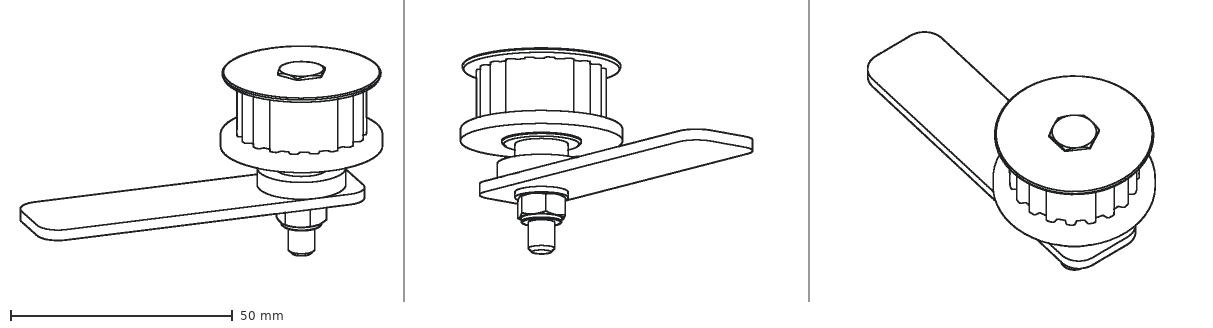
import cadquery as cq
import math


arm_width = 20.0
arm_thickness = 2.5
arm_corner_radius = 5.0
arm_near_end_y = 13.0

boss_diameter = arm_width
boss_height = 4.0
post_diameter = 12.0
post_height = 4.5
collar_diameter = 18.0
collar_chamfer = 0.5
collar_height = 0.75

lower_flange_diameter = 36.6
lower_flange_height = 3.1
lower_flange_round = 0.5
tooth_count = 19
tooth_tip_diameter = 29.3
tooth_height = 13.1
tooth_tip_round = 0.6
tooth_root_round = 0.25
groove_depth = 1.3
groove_floor_width = 1.85
groove_flank_angle = 25.0
groove_phase_angle = 1.0
upper_flange_diameter = 35.9
upper_flange_height = 1.4
upper_flange_base_diameter = 32.5
upper_flange_lip_diameter = 35.2
upper_flange_lip_height = 0.4
upper_flange_rim_height = 1.1

hex_across_flats = 10.0
hex_across_corners = hex_across_flats / math.cos(math.radians(30))
head_height = 0.75
bolt_diameter = 6.0
bolt_end_chamfer = 0.8
washer_diameter = post_diameter
washer_thickness = 1.25
nut_height = 4.8
nut_collar_diameter = 9.2
nut_collar_height = 1.0
nut_collar_chamfer = 0.25
bolt_tip_length = 6.8
hex_bevel_angle = 30.0
head_turn = 30.0
nut_turn = 0.0

overall_length = 83.8
arm_far_end_y = lower_flange_diameter / 2 - overall_length

boss_top = arm_thickness + boss_height
post_top = boss_top + post_height
collar_top = post_top + collar_height
lower_flange_top = collar_top + lower_flange_height
teeth_top = lower_flange_top + tooth_height
upper_flange_top = teeth_top + upper_flange_height
nut_top = -washer_thickness
nut_bottom = nut_top - nut_height
nut_collar_bottom = nut_bottom - nut_collar_height
bolt_bottom = nut_collar_bottom - bolt_tip_length


def disc(diameter, bottom, height):
    return cq.Workplane("XY").workplane(offset=bottom).circle(diameter / 2).extrude(height)


def axis_distance(edge):
    """Distance of an edge's midpoint from the bolt axis."""
    center = edge.Center()
    return math.hypot(center.x, center.y)


def hexagon(bottom, height, turn):
    """Hexagonal prism with corners on the X axis, then turned about Z by the given degrees."""
    prism = cq.Workplane("XY").workplane(offset=bottom).polygon(6, hex_across_corners).extrude(height)
    return prism.rotate((0, 0, 0), (0, 0, 1), turn)


def corner_bevel(bottom, height, bevel_bottom, bevel_top):
    """Turned blank whose beveled ends round off the corners of a hexagon."""
    flat_radius = hex_across_flats / 2
    corner_radius = hex_across_corners / 2
    bevel_width = corner_radius - flat_radius
    bevel_height = bevel_width * math.tan(math.radians(hex_bevel_angle))
    blank = disc(hex_across_corners, bottom, height)
    if bevel_bottom:
        blank = blank.faces("<Z").chamfer(bevel_height, bevel_width)
    if bevel_top:
        blank = blank.faces(">Z").chamfer(bevel_height, bevel_width)
    return blank


def make_arm():
    length = arm_near_end_y - arm_far_end_y
    middle_y = (arm_near_end_y + arm_far_end_y) / 2
    plate = cq.Workplane("XY").center(0, middle_y).rect(arm_width, length).extrude(arm_thickness)
    return plate.edges("|Z").fillet(arm_corner_radius)


def make_spacers():
    boss = disc(boss_diameter, arm_thickness, boss_height)
    post = disc(post_diameter, boss_top, post_height)
    collar = disc(collar_diameter, post_top, collar_height).faces("<Z").chamfer(collar_chamfer)
    return boss.union(post).union(collar)


def make_toothed_ring():
    """Cylinder with trapezoidal belt grooves, rounded at the tooth tips and roots."""
    tip_radius = tooth_tip_diameter / 2
    floor_radius = tip_radius - groove_depth
    mouth_radius = tip_radius + groove_depth
    floor_half = groove_floor_width / 2
    mouth_half = floor_half + (mouth_radius - floor_radius) * math.tan(math.radians(groove_flank_angle))
    groove = (
        cq.Workplane("XY")
        .workplane(offset=lower_flange_top)
        .polyline([
            (floor_radius, -floor_half),
            (mouth_radius, -mouth_half),
            (mouth_radius, mouth_half),
            (floor_radius, floor_half),
        ])
        .close()
        .extrude(tooth_height)
    )
    ring = disc(tooth_tip_diameter, lower_flange_top, tooth_height)
    for index in range(tooth_count):
        angle = groove_phase_angle + index * 360 / tooth_count
        ring = ring.cut(groove.rotate((0, 0, 0), (0, 0, 1), angle))
    middle_radius = tip_radius - groove_depth / 2
    tip_edges = [edge for edge in ring.edges("|Z").vals() if axis_distance(edge) > middle_radius]
    ring = ring.newObject(tip_edges).fillet(tooth_tip_round)
    root_edges = [edge for edge in ring.edges("|Z").vals() if axis_distance(edge) < middle_radius]
    return ring.newObject(root_edges).fillet(tooth_root_round)


def make_upper_flange():
    profile = [
        (0, teeth_top),
        (upper_flange_base_diameter / 2, teeth_top),
        (upper_flange_lip_diameter / 2, teeth_top + upper_flange_lip_height),
        (upper_flange_diameter / 2, teeth_top + upper_flange_rim_height),
        (upper_flange_lip_diameter / 2, upper_flange_top),
        (0, upper_flange_top),
    ]
    return cq.Workplane("XZ").polyline(profile).close().revolve(360, (0, 0, 0), (0, 1, 0))


def make_pulley():
    lower_flange = disc(lower_flange_diameter, collar_top, lower_flange_height)
    lower_flange = lower_flange.faces(">Z").edges().fillet(lower_flange_round)
    return lower_flange.union(make_toothed_ring()).union(make_upper_flange())


def make_fasteners():
    head = hexagon(upper_flange_top, head_height, head_turn)
    head = head.intersect(corner_bevel(upper_flange_top, head_height, False, True))
    washer = disc(washer_diameter, nut_top, washer_thickness)
    nut = hexagon(nut_bottom, nut_height, nut_turn)
    nut = nut.intersect(corner_bevel(nut_bottom, nut_height, True, True))
    nut_collar = disc(nut_collar_diameter, nut_collar_bottom, nut_collar_height)
    nut_collar = nut_collar.faces("<Z").chamfer(nut_collar_chamfer)
    tip = disc(bolt_diameter, bolt_bottom, bolt_tip_length).faces("<Z").chamfer(bolt_end_chamfer)
    return head.union(washer).union(nut).union(nut_collar).union(tip)


result = make_arm().union(make_spacers()).union(make_pulley()).union(make_fasteners())